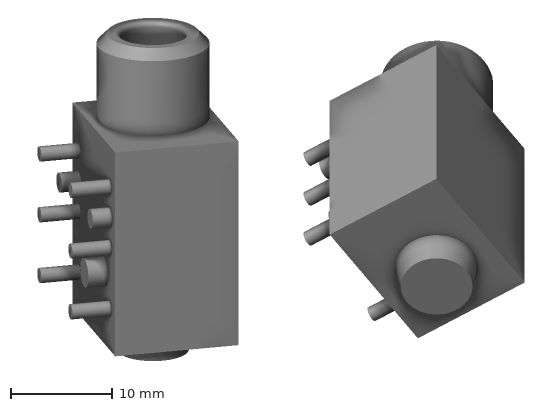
import cadquery as cq
import math

body_width = 15.75
body_depth = 12.7
body_height = 21.35
total_height = 33.15

axis_from_left = 6.4
axis_from_back = 6.2
left_x = -axis_from_left
front_y = axis_from_back - body_depth

sleeve_radius = 5.6
sleeve_height = 8.82
sleeve_chamfer = 1.03

tip_height = total_height - body_height - sleeve_height
tip_root_radius = 4.1
tip_end_radius = 3.55
tip_mid_radius = 3.78

bore_radius = 3.25
bore_depth = 30.0
bore_mouth_radius = 0.5
bore_floor_angle = 118

pin_radius = 0.75
pin_length = 4.0
peg_radius = 1.0
peg_length = 2.0
large_peg_radius = 1.5
column_inset = 2.22
column_spacing = 11.45
pin_pitch = 3.18
top_pin_drop = 4.28
large_peg_offset = 9.28

top_pin_z = body_height - top_pin_drop
columns = [left_x + column_inset, left_x + column_inset + column_spacing]


def row_z(row):
    """Height of a row, counted downward from the top pins."""
    return top_pin_z - row * pin_pitch


def front_cylinders(points, radius, length):
    """Round posts standing out of the front face at (x, z) points."""
    face = cq.Workplane("XZ", origin=(0, front_y, 0))
    return face.pushPoints(points).circle(radius).extrude(length)


def make_body():
    return cq.Workplane("XY").box(body_width, body_depth, body_height, centered=False).translate(
        (left_x, front_y, 0)
    )


def make_sleeve():
    sleeve = cq.Workplane("XY", origin=(0, 0, body_height)).circle(sleeve_radius).extrude(sleeve_height)
    return sleeve.faces(">Z").edges().chamfer(sleeve_chamfer)


def make_tip():
    profile = (
        cq.Workplane("XZ")
        .lineTo(tip_root_radius, 0)
        .threePointArc((tip_mid_radius, -tip_height / 2), (tip_end_radius, -tip_height))
        .lineTo(0, -tip_height)
        .close()
    )
    return profile.revolve(360, (0, 0, 0), (0, 1, 0))


def make_bore():
    """Solid to cut away: drill shape flaring out to the rounded mouth."""
    top_z = body_height + sleeve_height
    floor_z = top_z - bore_depth
    cone_depth = bore_radius / math.tan(math.radians(bore_floor_angle / 2))
    mouth_outer_radius = bore_radius + bore_mouth_radius
    arc_inset = bore_mouth_radius * math.cos(math.radians(45))
    profile = (
        cq.Workplane("XZ")
        .moveTo(0, floor_z - cone_depth)
        .lineTo(bore_radius, floor_z)
        .lineTo(bore_radius, top_z - bore_mouth_radius)
        .threePointArc(
            (mouth_outer_radius - arc_inset, top_z - bore_mouth_radius + arc_inset),
            (mouth_outer_radius, top_z),
        )
        .lineTo(0, top_z)
        .close()
    )
    return profile.revolve(360, (0, 0, 0), (0, 1, 0))


pin_points = [(x, row_z(row)) for x in columns for row in (0, 2, 4)]
peg_points = [(x, row_z(1)) for x in columns]
large_peg_point = (columns[0] + large_peg_offset, row_z(3))

result = (
    make_body()
    .union(make_sleeve())
    .union(make_tip())
    .cut(make_bore())
    .union(front_cylinders(pin_points, pin_radius, pin_length))
    .union(front_cylinders(peg_points, peg_radius, peg_length))
    .union(front_cylinders([large_peg_point], large_peg_radius, peg_length))
)